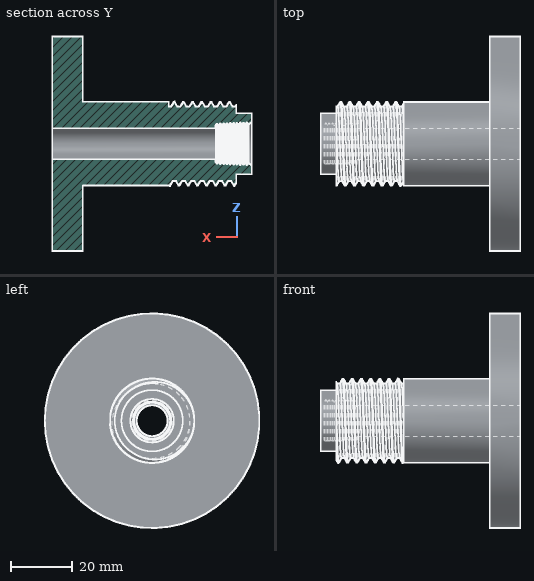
import cadquery as cq

spigot_diameter = 20.0
spigot_length = 5.0
shank_diameter = 27.4
thread_length = 22.0
shank_length = 28.0
flange_diameter = 70.0
flange_thickness = 10.0
bore_diameter = 10.0

thread_pitch = 3.0
thread_root_diameter = 24.4
thread_crest_flat = 0.3
thread_root_flat = 1.0

mouth_diameter = 14.2
lead_in_diameter = 13.5
lead_in_length = 0.4

ring_start = 1.0
ring_pitch = 1.08
ring_count = 10
ring_depth = 0.7
ring_crest_flat = 0.12
first_crest_diameter = 12.5
crest_diameter_step = 0.08

thread_start = spigot_length
shank_start = thread_start + thread_length
flange_start = shank_start + shank_length
total_length = flange_start + flange_thickness

groove_overrun_turns = 2
groove_overcut = 0.1


def cylinder(diameter, start, length):
    """Solid cylinder on the X axis, from x = start."""
    return cq.Workplane("YZ").workplane(offset=start).circle(diameter / 2).extrude(length)


def helical_groove():
    """Right-hand trapezoidal groove wound about X, open past the thread crests."""
    overrun = groove_overrun_turns * thread_pitch
    start = thread_start - overrun
    length = thread_length + 2 * overrun
    root_radius = thread_root_diameter / 2
    crest_radius = shank_diameter / 2
    crest_opening = thread_pitch - thread_crest_flat
    width_per_height = (crest_opening - thread_root_flat) / (crest_radius - root_radius)
    outer_width = crest_opening + groove_overcut * width_per_height
    outer_radius = crest_radius + groove_overcut
    profile = (
        cq.Workplane("XY")
        .moveTo(start - thread_root_flat / 2, root_radius)
        .lineTo(start + thread_root_flat / 2, root_radius)
        .lineTo(start + outer_width / 2, outer_radius)
        .lineTo(start - outer_width / 2, outer_radius)
        .close()
    )
    path = cq.Wire.makeHelix(thread_pitch, length, root_radius)
    path = path.rotate(cq.Vector(0, 0, 0), cq.Vector(1, 1, 1), 120)
    path = path.translate(cq.Vector(start, 0, 0))
    return profile.sweep(cq.Workplane(obj=path), isFrenet=True)


def threaded_section():
    """Cylinder with the external thread groove cut through both ends."""
    return cylinder(shank_diameter, thread_start, thread_length).cut(helical_groove())


def tapped_hole():
    """Cutter for the lead-in and the tapered rings, revolved about X."""
    groove_half_width = (ring_pitch - ring_crest_flat) / 2
    outline = [
        (0, 0),
        (0, mouth_diameter / 2),
        (lead_in_length, lead_in_diameter / 2),
    ]
    for ring in range(ring_count):
        x = ring_start + ring * ring_pitch
        crest_radius = (first_crest_diameter - ring * crest_diameter_step) / 2
        outline.append((x, crest_radius))
        outline.append((x + ring_crest_flat, crest_radius))
        outline.append((x + ring_crest_flat + groove_half_width, crest_radius + ring_depth))
    end = ring_start + ring_count * ring_pitch
    end_radius = (first_crest_diameter - ring_count * crest_diameter_step) / 2
    outline.append((end, end_radius))
    outline.append((end, 0))
    return cq.Workplane("XY").polyline(outline).close().revolve(360, (0, 0, 0), (1, 0, 0))


body = (
    cylinder(spigot_diameter, 0, spigot_length)
    .union(threaded_section())
    .union(cylinder(shank_diameter, shank_start, shank_length))
    .union(cylinder(flange_diameter, flange_start, flange_thickness))
)
body = body.cut(cylinder(bore_diameter, 0, total_length)).cut(tapped_hole())
result = body.solids()